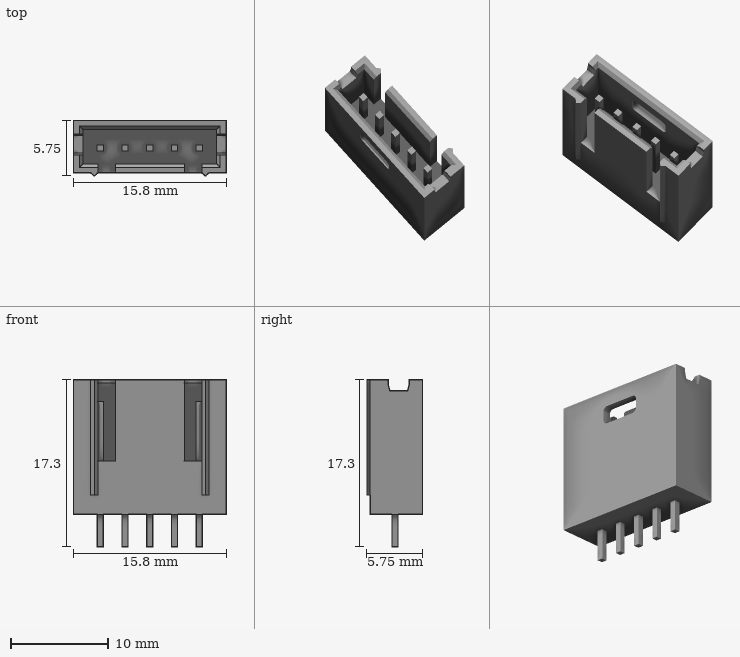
import cadquery as cq

housing_width = 15.75
housing_depth = 5.425
housing_height = 13.9
long_wall = 0.95
end_wall = 1.0
rim_chamfer = 0.375
cavity_depth = 8.4
back_y = 2.85
front_y = back_y - housing_depth

pin_count = 5
pin_pitch = 2.55
pin_size = 0.64
pin_tail = 3.35
pin_top_drop = 2.25

slot_outer_x = 5.35
slot_width = 1.8
rib_width = 0.75
rib_depth = 0.325
rib_length = 11.9

notch_width = 2.15
notch_floor_width = 1.8
notch_straight_depth = 0.5
notch_depth = 1.15
notch_back_offset = 1.4

window_width = 4.55
window_height = 1.95
window_radius = 0.5
window_top_drop = 1.7

housing_center_y = (front_y + back_y) / 2
cavity_width = housing_width - 2 * end_wall
cavity_span_y = housing_depth - 2 * long_wall
cavity_floor_z = housing_height - cavity_depth


def box(x_range, y_range, z_range):
    """Axis-aligned block given by its limits on each axis."""
    (x0, x1), (y0, y1), (z0, z1) = x_range, y_range, z_range
    return cq.Workplane("XY").box(x1 - x0, y1 - y0, z1 - z0, centered=False).translate((x0, y0, z0))


def make_shell():
    """Open-topped box with a chamfered inner rim."""
    block = box((-housing_width / 2, housing_width / 2), (front_y, back_y), (0, housing_height))
    cavity = (
        cq.Workplane("XY", origin=(0, housing_center_y, cavity_floor_z))
        .rect(cavity_width, cavity_span_y)
        .extrude(cavity_depth)
    )
    rim = (
        cq.Workplane("XY", origin=(0, housing_center_y, housing_height - rim_chamfer))
        .rect(cavity_width, cavity_span_y)
        .workplane(offset=rim_chamfer)
        .rect(cavity_width + 2 * rim_chamfer, cavity_span_y + 2 * rim_chamfer)
        .loft(combine=True, ruled=True)
    )
    return block.cut(cavity).cut(rim)


def make_keying_slot(side):
    """Slot through the front wall, from the rim down to the cavity floor."""
    x_range = sorted((side * slot_outer_x, side * (slot_outer_x - slot_width)))
    return box(x_range, (front_y, front_y + long_wall), (cavity_floor_z, housing_height))


def make_rib(side):
    """V-shaped rib on the front face, along the outer edge of a slot."""
    inner_x = side * slot_outer_x
    return (
        cq.Workplane("XY", origin=(0, 0, housing_height - rib_length))
        .moveTo(inner_x, front_y)
        .lineTo(inner_x + side * rib_width / 2, front_y - rib_depth)
        .lineTo(inner_x + side * rib_width, front_y)
        .close()
        .extrude(rib_length)
    )


def make_end_notches():
    """Notch profile with a tapered lower part, run through both end walls."""
    center_y = back_y - notch_back_offset - notch_width / 2
    half_top = notch_width / 2
    half_floor = notch_floor_width / 2
    taper_z = housing_height - notch_straight_depth
    floor_z = housing_height - notch_depth
    return (
        cq.Workplane("YZ")
        .moveTo(center_y - half_top, housing_height)
        .lineTo(center_y - half_top, taper_z)
        .lineTo(center_y - half_floor, floor_z)
        .lineTo(center_y + half_floor, floor_z)
        .lineTo(center_y + half_top, taper_z)
        .lineTo(center_y + half_top, housing_height)
        .close()
        .extrude(housing_width / 2, both=True)
    )


def make_window():
    """Round-cornered opening through the back wall."""
    top_z = housing_height - window_top_drop
    block = box(
        (-window_width / 2, window_width / 2),
        (back_y - long_wall, back_y),
        (top_z - window_height, top_z),
    )
    return block.edges("|Y").fillet(window_radius)


def make_pin(x):
    """Square pin from the solder tail up into the cavity."""
    half = pin_size / 2
    return box((x - half, x + half), (-half, half), (-pin_tail, housing_height - pin_top_drop))


result = make_shell().cut(make_end_notches()).cut(make_window())

for side in (-1, 1):
    result = result.cut(make_keying_slot(side)).union(make_rib(side))

for index in range(pin_count):
    result = result.union(make_pin((index - (pin_count - 1) / 2) * pin_pitch))